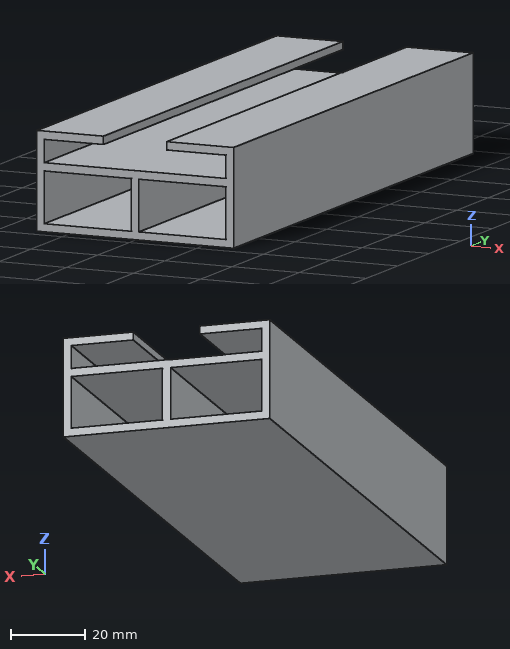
import cadquery as cq

width = 58.7
length = 152.4
height = 27.7

wall = 2.3
slot_width = 18.9
channel_height = 6.4

inner_width = width - 2 * wall
chamber_width = (inner_width - wall) / 2
chamber_height = height - 3 * wall - channel_height
channel_bottom = 2 * wall + chamber_height


def lengthwise_bar(bar_width, bar_height, center_x, bottom_z):
    """Rectangular bar running the full length along Y."""
    return (
        cq.Workplane("XY")
        .box(bar_width, length, bar_height, centered=(True, True, False))
        .translate((center_x, 0, bottom_z))
    )


body = lengthwise_bar(width, height, 0, 0)

for side in (-1, 1):
    chamber_x = side * (wall + chamber_width) / 2
    body = body.cut(lengthwise_bar(chamber_width, chamber_height, chamber_x, wall))

body = body.cut(lengthwise_bar(inner_width, channel_height, 0, channel_bottom))
slot_depth = height - channel_bottom
result = body.cut(lengthwise_bar(slot_width, slot_depth, 0, channel_bottom))